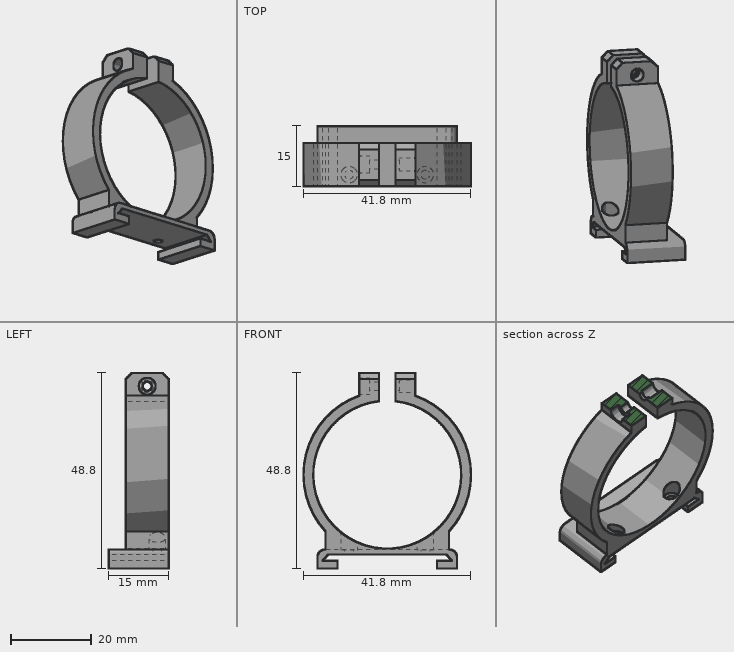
import cadquery as cq
import math

height = 48.84
base_length = 15.0
ring_width = 10.8

ring_outer_radius = 20.92
bore_radius = 18.42
bore_bottom = 5.0
ring_center_z = bore_bottom + bore_radius

gap = 4.0
lug_thickness = 5.0
lug_outer_x = gap / 2 + lug_thickness
lug_chamfer = 1.6
lug_hole_y = ring_width / 2
lug_hole_below_top = 3.35
lug_hole_z = height - lug_hole_below_top
lug_hole_diameter = 2.2
lug_head_diameter = 4.2
lug_head_depth = 2.6
lug_insert_diameter = 3.2
lug_insert_depth = 4.0

foot_half_width = 17.45
foot_top = 4.8
foot_round = 2.0
saddle_half_width = 15.4
saddle_top = ring_center_z - math.sqrt(ring_outer_radius**2 - saddle_half_width**2)
rail_ceiling = 3.5
lip_thickness = 2.0
lip_inner_x = 12.4
rail_ceiling_half_width = 14.7
rail_half_width = 16.1

screw_x = 9.5
screw_y = 2.9
screw_hole_diameter = 2.2
screw_head_diameter = 4.1
screw_floor = 1.2
screw_head_seat = rail_ceiling + screw_floor


def block(x_min, x_max, length, z_min, z_max):
    """Box from Y = 0 to the given length."""
    box = cq.Workplane("XY").box(x_max - x_min, length, z_max - z_min, centered=False)
    return box.translate((x_min, 0, z_min))


def cylinder_y(radius, length):
    """Cylinder along Y about the ring axis, starting at Y = 0."""
    return cq.Workplane("XZ", origin=(0, 0, ring_center_z)).circle(radius).extrude(-length)


def cylinder_x(diameter, x_min, x_max):
    """Cylinder along X on the clamping screw axis."""
    plane = cq.Workplane("YZ", origin=(x_min, lug_hole_y, lug_hole_z))
    return plane.circle(diameter / 2).extrude(x_max - x_min)


def cylinder_z(diameter, x, z_min, z_max):
    """Upright cylinder on a base screw axis."""
    plane = cq.Workplane("XY", origin=(x, screw_y, z_min))
    return plane.circle(diameter / 2).extrude(z_max - z_min)


def make_foot():
    """Full-length foot with rounded top edges and an undercut rail channel."""
    foot = block(-foot_half_width, foot_half_width, base_length, 0, foot_top)
    foot = foot.edges("|Y and >Z").fillet(foot_round)
    channel = (
        cq.Workplane("XZ")
        .moveTo(-lip_inner_x, 0)
        .lineTo(-lip_inner_x, lip_thickness)
        .lineTo(-rail_half_width, lip_thickness)
        .lineTo(-rail_ceiling_half_width, rail_ceiling)
        .lineTo(rail_ceiling_half_width, rail_ceiling)
        .lineTo(rail_half_width, lip_thickness)
        .lineTo(lip_inner_x, lip_thickness)
        .lineTo(lip_inner_x, 0)
        .close()
        .extrude(-base_length)
    )
    return foot.cut(channel)


def make_ring():
    """Split ring with its saddle and two chamfered lugs."""
    lugs = block(-lug_outer_x, lug_outer_x, ring_width, ring_center_z, height)
    lugs = lugs.edges("|X and >Z").chamfer(lug_chamfer)
    saddle = block(-saddle_half_width, saddle_half_width, ring_width, rail_ceiling, saddle_top)
    ring = cylinder_y(ring_outer_radius, ring_width).intersect(
        block(-ring_outer_radius, ring_outer_radius, ring_width, rail_ceiling, height)
    )
    ring = ring.union(lugs).union(saddle)
    return ring.cut(block(-gap / 2, gap / 2, ring_width, ring_center_z, height))


def cut_lug_holes(body):
    """Through hole across both lugs, with a wide recess in each outer face."""
    body = body.cut(cylinder_x(lug_hole_diameter, -lug_outer_x, lug_outer_x))
    body = body.cut(cylinder_x(lug_head_diameter, -lug_outer_x, -lug_outer_x + lug_head_depth))
    return body.cut(cylinder_x(lug_insert_diameter, lug_outer_x - lug_insert_depth, lug_outer_x))


def cut_base_screws(body):
    """Counterbored holes through the foot, open to the bore."""
    for x in (-screw_x, screw_x):
        body = body.cut(cylinder_z(screw_hole_diameter, x, 0, ring_center_z))
        body = body.cut(cylinder_z(screw_head_diameter, x, screw_head_seat, ring_center_z))
    return body


body = make_foot().union(make_ring())
body = body.cut(cylinder_y(bore_radius, base_length))
body = cut_lug_holes(body)
result = cut_base_screws(body)